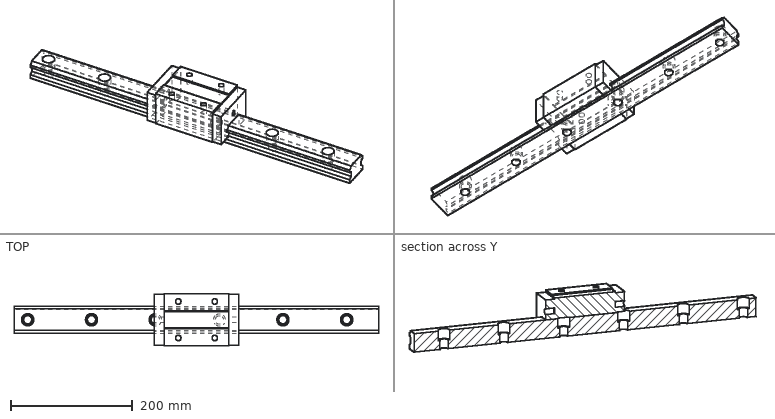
import cadquery as cq
import math

RAIL_LENGTH = 600.0
RAIL_WIDTH = 45.0
RAIL_HEIGHT = 32.5
RAIL_TOP_WIDTH = 35.5
RAIL_WAIST_WIDTH = 34.0
GROOVE_SAG = 1.5
HEAD_SIDE_TOP = 27.0
HEAD_SIDE_BOTTOM = 22.0
WAIST_TOP = 18.5
WAIST_BOTTOM = 11.0
FOOT_SIDE_TOP = 7.0

BOLT_COUNT = 6
BOLT_PITCH = 105.0
FIRST_BOLT_X = 22.0
BOLT_DIAMETER = 14.0
COUNTERBORE_DIAMETER = 20.0
COUNTERBORE_DEPTH = 17.0

CARRIAGE_CENTER_X = RAIL_LENGTH / 2
CARRIAGE_LENGTH = 139.0
CARRIAGE_WIDTH = 86.0
CARRIAGE_TOP = 70.0
CARRIAGE_BOTTOM = 9.0
END_PLATE_LENGTH = 16.0
END_PLATE_DROP = 3.5
END_PLATE_INSET = 0.5
BLOCK_LENGTH = CARRIAGE_LENGTH - 2 * END_PLATE_LENGTH

CHANNEL_TOP_WIDTH = 29.5
CHANNEL_FLOOR_WIDTH = 27.0
CHANNEL_DEPTH = 2.0

MOUNT_SPACING = 60.0
MOUNT_DIAMETER = 9.0
MOUNT_DEPTH = 17.0
DRILL_POINT_ANGLE = 118.0

PORT_DIAMETER = 9.0
PORT_Z = 46.0


def groove_arc(sketch, start, end):
    """Arc from start to end, bowed into the rail by GROOVE_SAG."""
    dy = end[0] - start[0]
    dz = end[1] - start[1]
    chord = math.hypot(dy, dz)
    middle = (
        (start[0] + end[0]) / 2 - dz / chord * GROOVE_SAG,
        (start[1] + end[1]) / 2 + dy / chord * GROOVE_SAG,
    )
    return sketch.threePointArc(middle, end)


def rail_bar():
    """Rail without bolt holes; also the shape of the passage through the carriage."""
    half_width = RAIL_WIDTH / 2
    half_waist = RAIL_WAIST_WIDTH / 2
    half_top = RAIL_TOP_WIDTH / 2
    sketch = (
        cq.Workplane("YZ")
        .moveTo(half_width, 0)
        .lineTo(half_width, FOOT_SIDE_TOP)
        .lineTo(half_waist, WAIST_BOTTOM)
        .lineTo(half_waist, WAIST_TOP)
    )
    sketch = groove_arc(sketch, (half_waist, WAIST_TOP), (half_width, HEAD_SIDE_BOTTOM))
    sketch = sketch.lineTo(half_width, HEAD_SIDE_TOP)
    sketch = groove_arc(sketch, (half_width, HEAD_SIDE_TOP), (half_top, RAIL_HEIGHT))
    sketch = sketch.lineTo(-half_top, RAIL_HEIGHT)
    sketch = groove_arc(sketch, (-half_top, RAIL_HEIGHT), (-half_width, HEAD_SIDE_TOP))
    sketch = sketch.lineTo(-half_width, HEAD_SIDE_BOTTOM)
    sketch = groove_arc(sketch, (-half_width, HEAD_SIDE_BOTTOM), (-half_waist, WAIST_TOP))
    return (
        sketch
        .lineTo(-half_waist, WAIST_BOTTOM)
        .lineTo(-half_width, FOOT_SIDE_TOP)
        .lineTo(-half_width, 0)
        .close()
        .extrude(RAIL_LENGTH)
    )


def make_rail():
    """Rail with its row of counterbored bolt holes."""
    bolt_points = [(FIRST_BOLT_X + i * BOLT_PITCH, 0) for i in range(BOLT_COUNT)]
    return (
        rail_bar()
        .faces(">Z")
        .workplane(origin=(0, 0, RAIL_HEIGHT))
        .pushPoints(bolt_points)
        .cboreHole(BOLT_DIAMETER, COUNTERBORE_DIAMETER, COUNTERBORE_DEPTH)
    )


def carriage_box(length, width, bottom, top):
    """Box centred along and across the carriage."""
    return (
        cq.Workplane("XY", origin=(CARRIAGE_CENTER_X, 0, bottom))
        .box(length, width, top - bottom, centered=(True, True, False))
    )


def top_channel():
    """Sloped-sided channel running the full length of the block."""
    floor_z = CARRIAGE_TOP - CHANNEL_DEPTH
    outline = [
        (-CHANNEL_TOP_WIDTH / 2, CARRIAGE_TOP),
        (-CHANNEL_FLOOR_WIDTH / 2, floor_z),
        (CHANNEL_FLOOR_WIDTH / 2, floor_z),
        (CHANNEL_TOP_WIDTH / 2, CARRIAGE_TOP),
    ]
    start_x = CARRIAGE_CENTER_X - BLOCK_LENGTH / 2
    return cq.Workplane("YZ", origin=(start_x, 0, 0)).polyline(outline).close().extrude(BLOCK_LENGTH)


def mounting_holes():
    """Four blind holes drilled down from the block top, each with a conical bottom."""
    radius = MOUNT_DIAMETER / 2
    point_depth = radius / math.tan(math.radians(DRILL_POINT_ANGLE / 2))
    half_section = [
        (0, 0),
        (radius, 0),
        (radius, -MOUNT_DEPTH),
        (0, -MOUNT_DEPTH - point_depth),
    ]
    drill = cq.Workplane("XZ").polyline(half_section).close().revolve(360, (0, 0), (0, 1)).val()
    return (
        cq.Workplane("XY", origin=(CARRIAGE_CENTER_X, 0, CARRIAGE_TOP))
        .rect(MOUNT_SPACING, MOUNT_SPACING, forConstruction=True)
        .vertices()
        .eachpoint(lambda place: drill.moved(place))
    )


def grease_port(start_x):
    """Port one end plate deep, running toward +X from start_x."""
    return (
        cq.Workplane("YZ", origin=(start_x, 0, PORT_Z))
        .circle(PORT_DIAMETER / 2)
        .extrude(END_PLATE_LENGTH)
    )


def make_carriage():
    """Carriage fitted closely around the rail."""
    block = carriage_box(BLOCK_LENGTH, CARRIAGE_WIDTH, CARRIAGE_BOTTOM, CARRIAGE_TOP)
    end_plates = carriage_box(
        CARRIAGE_LENGTH,
        CARRIAGE_WIDTH - 2 * END_PLATE_INSET,
        CARRIAGE_BOTTOM + END_PLATE_INSET,
        CARRIAGE_TOP - END_PLATE_DROP,
    )
    body = block.union(end_plates)
    body = body.cut(rail_bar()).cut(top_channel()).cut(mounting_holes())
    for start_x in (
        CARRIAGE_CENTER_X - CARRIAGE_LENGTH / 2,
        CARRIAGE_CENTER_X + BLOCK_LENGTH / 2,
    ):
        body = body.cut(grease_port(start_x))
    return body


rail = make_rail()
carriage = make_carriage()
result = cq.Compound.makeCompound([rail.solids().val(), carriage.solids().val()])